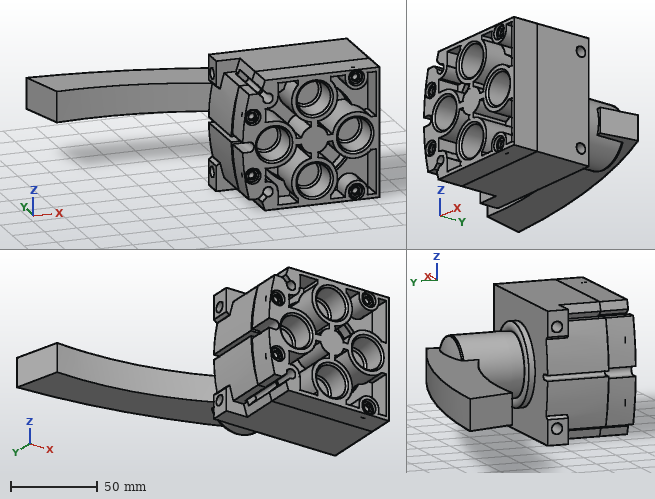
import cadquery as cq
import math


HALF_HEIGHT = 40.0
RIGHT_X = 40.1
PLATE_THICKNESS = 17.2
HOUSING_THICKNESS = 38.3
PLATE_BULGE_X = -44.5
HOUSING_BULGE_X = -45.4
STEP_OUTER_X = -40.5
STEP_INNER_X = -33.2
STEP_TOP_X = -30.7
STEP_Z = 32.2

GROOVE_WIDTH = 3.4
KEYHOLE_DIAMETER = 6.0
KEYHOLE_X = -28.8
KEYHOLE_Z = 28.7
KEYHOLE_RUN = 6.7
GROOVE_ANGLE = 135
CORNER_GROOVE_START = 17.0
MIDDLE_GROOVE_X = -40.5
PLATE_GROOVE_WIDTH = 6.0

TAB_THICKNESS = 13.0
TAB_BOTTOM_Z = 24.5
TAB_CHAMFER = 1.7
TAB_CHAMFER_X = -43.2
TAB_ROOT_X = -16.9
MOUNT_HOLE_DIAMETER = 6.5
MOUNT_HOLE_Z = 30.2
MOUNT_HOLE_SETBACK = 5.9

PORT_OFFSET = 25.1
PORT_BOSS_RADIUS = 14.2
PORT_RIM_RADIUS = 11.5
PORT_MOUTH_RADIUS = 10.3
PORT_END_RADIUS = 9.5
PORT_FLOOR_RADIUS = 8.3
PORT_RIM_DEPTH = 1.2
PORT_END_DEPTH = 14.8
PORT_DEPTH = 16.0
POST_RADIUS = 8.5
RIB_WIDTH = 4.2
BRIDGE_HALF_WIDTH = 10.1
POCKET_DEPTH = 14.2
POCKET_RIGHT_X = 38.1
POCKET_LEFT_X = -30.3
POCKET_TOP_Z = 37.5
POCKET_CORNER_X = -22.5
POCKET_CORNER_Z = 22.5
KEYHOLE_BOSS_RADIUS = 6.0
SPIGOT_RADIUS = 31.4
SPIGOT_LENGTH = 6.7

SCREW_PLACES = [(-38.1, 18.0), (26.0, 34.9)]
SCREW_BOSS_RADIUS = 6.9
SCREW_BORE_RADIUS = 4.7
SCREW_BORE_DEPTH = 5.9
SCREW_HEAD_RADIUS = 4.2
SCREW_HEAD_SETBACK = 1.3
SCREW_HEAD_CHAMFER = 0.5
SOCKET_DIAMETER = 4.9
SOCKET_RADIUS = SOCKET_DIAMETER / 2
SOCKET_CONE_RADIUS = 2.0
SOCKET_DEPTH = 1.7
SOCKET_CONE_DEPTH = 1.3

COLLAR_RADIUS = 25.5
COLLAR_RIM_HEIGHT = 3.9
COLLAR_CREST = (22.3, 5.2)
COLLAR_TOP_RADIUS = 19.5
COLLAR_TOP_HEIGHT = 4.0

HUB_DIAMETER = 40.0
HUB_RADIUS = HUB_DIAMETER / 2
HUB_SKIRT_TOP = 12.3
SKIRT_MIDDLE = (19.9, 8.3)
HUB_SHOULDER = 41.6
HUB_DOME_EDGE = (19.5, 42.7)
HUB_DOME_MIDDLE = (10.1, 44.5)
HUB_DOME_TOP = 45.2

LEVER_TIP_TOP = (-128.5, 81.1)
LEVER_TOP_MIDDLE = (-48.2, 71.5)
LEVER_END_TOP = (26.0, 47.7)
LEVER_END_BOTTOM = (21.7, 22.8)
LEVER_INSIDE_HUB = (-15.2, 30.9)
LEVER_BOTTOM_MIDDLE = (-67.8, 48.4)
LEVER_TIP_BOTTOM = (-120.4, 51.6)
LEVER_TIP_WIDTH = 19.2
LEVER_END_WIDTH = 16.0


def prism(outline, y_start, y_end):
    """Extrude an outline drawn in X and Z from one Y to another."""
    return outline.extrude(y_start - y_end).translate((0, y_start, 0))


def xz():
    """Plane of the outlines, looking along the valve axis."""
    return cq.Workplane("XZ")


def box(x_min, x_max, z_min, z_max, y_start, y_end):
    center = ((x_min + x_max) / 2, (z_min + z_max) / 2)
    return prism(xz().center(*center).rect(x_max - x_min, z_max - z_min), y_start, y_end)


def cylinder(x, z, radius, y_start, y_end):
    return prism(xz().center(x, z).circle(radius), y_start, y_end)


def turned(profile):
    """Revolve a closed profile of (radius, Y) about the Y axis."""
    return profile.close().revolve(360, (0, 0, 0), (0, 1, 0))


def with_mirror(shape):
    """Add the copy mirrored from the upper to the lower half."""
    return shape.union(shape.mirror("XY"))


def block(bulge_x, y_start, y_end):
    """Block with a bulged left side between two stepped corners."""
    outline = (
        xz()
        .moveTo(RIGHT_X, -HALF_HEIGHT)
        .lineTo(RIGHT_X, HALF_HEIGHT)
        .lineTo(STEP_TOP_X, HALF_HEIGHT)
        .lineTo(STEP_INNER_X, STEP_Z)
        .lineTo(STEP_OUTER_X, STEP_Z)
        .threePointArc((bulge_x, 0), (STEP_OUTER_X, -STEP_Z))
        .lineTo(STEP_INNER_X, -STEP_Z)
        .lineTo(STEP_TOP_X, -HALF_HEIGHT)
        .close()
    )
    return prism(outline, y_start, y_end)


def corner_grooves(y_start, y_end):
    """Round-ended 45 degree grooves running out of the stepped corners."""
    slot_length = KEYHOLE_RUN + GROOVE_WIDTH
    slot_shift = KEYHOLE_RUN / 2 * math.sin(math.radians(GROOVE_ANGLE))
    slot = (
        xz()
        .center(KEYHOLE_X - slot_shift, KEYHOLE_Z + slot_shift)
        .slot2D(slot_length, GROOVE_WIDTH, GROOVE_ANGLE)
    )
    return with_mirror(prism(slot, y_start, y_end))


def middle_groove(width, y_start, y_end):
    """Round-ended groove running out of the middle of the left side."""
    open_part = box(HOUSING_BULGE_X, MIDDLE_GROOVE_X, -width / 2, width / 2, y_start, y_end)
    return open_part.union(cylinder(MIDDLE_GROOVE_X, 0, width / 2, y_start, y_end))


def mounting_tabs():
    tab = (
        xz()
        .moveTo(HOUSING_BULGE_X, TAB_BOTTOM_Z)
        .lineTo(HOUSING_BULGE_X, HALF_HEIGHT)
        .lineTo(TAB_ROOT_X, HALF_HEIGHT)
        .lineTo(TAB_ROOT_X, TAB_BOTTOM_Z - TAB_CHAMFER)
        .lineTo(TAB_CHAMFER_X, TAB_BOTTOM_Z - TAB_CHAMFER)
        .close()
    )
    return with_mirror(prism(tab, HOUSING_THICKNESS - TAB_THICKNESS, HOUSING_THICKNESS))


def mounting_holes():
    return (
        cq.Workplane("YZ", origin=(HOUSING_BULGE_X, HOUSING_THICKNESS - MOUNT_HOLE_SETBACK, 0))
        .pushPoints([(0, MOUNT_HOLE_Z), (0, -MOUNT_HOLE_Z)])
        .circle(MOUNT_HOLE_DIAMETER / 2)
        .extrude(RIGHT_X - HOUSING_BULGE_X)
    )


def collar():
    """Collar with a rounded crest falling inward to the flat seat of the hub."""
    profile = (
        cq.Workplane("XY")
        .lineTo(COLLAR_RADIUS, 0)
        .lineTo(COLLAR_RADIUS, COLLAR_RIM_HEIGHT)
        .threePointArc(COLLAR_CREST, (COLLAR_TOP_RADIUS, COLLAR_TOP_HEIGHT))
        .lineTo(0, COLLAR_TOP_HEIGHT)
    )
    return turned(profile).translate((0, HOUSING_THICKNESS, 0))


def make_housing():
    corner_groove_end = HOUSING_THICKNESS - CORNER_GROOVE_START
    return (
        block(HOUSING_BULGE_X, 0, HOUSING_THICKNESS)
        .union(mounting_tabs())
        .union(collar())
        .cut(mounting_holes())
        .cut(corner_grooves(0, corner_groove_end))
        .cut(middle_groove(GROOVE_WIDTH, 0, HOUSING_THICKNESS))
        .cut(cylinder(0, 0, SPIGOT_RADIUS, 0, SPIGOT_LENGTH))
    )


def port_places():
    for quarter in range(4):
        angle = math.radians(90 * quarter)
        yield PORT_OFFSET * math.cos(angle), PORT_OFFSET * math.sin(angle)


def pocket_walls(y_start, y_end):
    """Everything left standing between the pockets: bosses, ribs, bridges and corners."""
    walls = cylinder(0, 0, POST_RADIUS, y_start, y_end)
    for x, z in port_places():
        walls = walls.union(cylinder(x, z, PORT_BOSS_RADIUS, y_start, y_end))
    half_rib = RIB_WIDTH / 2
    bars = [
        (-PORT_OFFSET, PORT_OFFSET, -half_rib, half_rib),
        (-half_rib, half_rib, -PORT_OFFSET, PORT_OFFSET),
        (-BRIDGE_HALF_WIDTH, BRIDGE_HALF_WIDTH, PORT_OFFSET, HALF_HEIGHT),
        (-BRIDGE_HALF_WIDTH, BRIDGE_HALF_WIDTH, -HALF_HEIGHT, -PORT_OFFSET),
        (PORT_OFFSET, RIGHT_X, -BRIDGE_HALF_WIDTH, BRIDGE_HALF_WIDTH),
        (POCKET_LEFT_X, -PORT_OFFSET, -PORT_BOSS_RADIUS, PORT_BOSS_RADIUS),
    ]
    for bar in bars:
        walls = walls.union(box(*bar, y_start, y_end))

    screw_x, screw_z = SCREW_PLACES[1]
    upper_corners = (
        box(POCKET_LEFT_X, KEYHOLE_X, POCKET_CORNER_Z, HALF_HEIGHT, y_start, y_end)
        .union(box(POCKET_LEFT_X, POCKET_CORNER_X, KEYHOLE_Z, HALF_HEIGHT, y_start, y_end))
        .union(cylinder(KEYHOLE_X, KEYHOLE_Z, KEYHOLE_BOSS_RADIUS, y_start, y_end))
        .union(cylinder(screw_x, screw_z, SCREW_BOSS_RADIUS, y_start, y_end))
        .union(
            box(
                screw_x - SCREW_BOSS_RADIUS,
                screw_x + SCREW_BOSS_RADIUS,
                screw_z,
                HALF_HEIGHT,
                y_start,
                y_end,
            )
        )
    )
    return walls.union(with_mirror(upper_corners))


def pockets():
    """Pockets open at the front, running on through the spigot inside its circle."""
    front = -PLATE_THICKNESS
    floor = front + POCKET_DEPTH
    shallow = box(POCKET_LEFT_X, POCKET_RIGHT_X, -POCKET_TOP_Z, POCKET_TOP_Z, front, floor)
    deep = cylinder(0, 0, SPIGOT_RADIUS, floor, SPIGOT_LENGTH).intersect(
        box(POCKET_LEFT_X, POCKET_RIGHT_X, -POCKET_TOP_Z, POCKET_TOP_Z, floor, SPIGOT_LENGTH)
    )
    return shallow.union(deep).cut(pocket_walls(front, SPIGOT_LENGTH))


def port_bore():
    """Tapered bore with a countersunk rim and a bevelled floor, sunk from the front face at the axis."""
    profile = (
        cq.Workplane("XY")
        .lineTo(PORT_RIM_RADIUS, 0)
        .lineTo(PORT_MOUTH_RADIUS, PORT_RIM_DEPTH)
        .lineTo(PORT_END_RADIUS, PORT_END_DEPTH)
        .lineTo(PORT_FLOOR_RADIUS, PORT_DEPTH)
        .lineTo(0, PORT_DEPTH)
    )
    return turned(profile).translate((0, -PLATE_THICKNESS, 0))


def screw_recess():
    """Counterbore around a chamfered screw head, with a cone-bottomed socket in the head."""
    head_edge = SCREW_HEAD_SETBACK + SCREW_HEAD_CHAMFER
    socket_floor = SCREW_HEAD_SETBACK + SOCKET_DEPTH
    profile = (
        cq.Workplane("XY")
        .lineTo(SCREW_BORE_RADIUS, 0)
        .lineTo(SCREW_BORE_RADIUS, SCREW_BORE_DEPTH)
        .lineTo(SCREW_HEAD_RADIUS, SCREW_BORE_DEPTH)
        .lineTo(SCREW_HEAD_RADIUS, head_edge)
        .lineTo(SCREW_HEAD_RADIUS - SCREW_HEAD_CHAMFER, SCREW_HEAD_SETBACK)
        .lineTo(SOCKET_RADIUS, SCREW_HEAD_SETBACK)
        .lineTo(SOCKET_RADIUS, socket_floor)
        .lineTo(SOCKET_CONE_RADIUS, socket_floor)
        .lineTo(0, socket_floor + SOCKET_CONE_DEPTH)
    )
    return turned(profile).translate((0, -PLATE_THICKNESS, 0))


def make_port_plate():
    front = -PLATE_THICKNESS
    plate = (
        block(PLATE_BULGE_X, front, 0)
        .union(cylinder(0, 0, SPIGOT_RADIUS, 0, SPIGOT_LENGTH))
        .cut(pockets())
        .cut(corner_grooves(front, 0))
        .cut(with_mirror(cylinder(KEYHOLE_X, KEYHOLE_Z, KEYHOLE_DIAMETER / 2, front, 0)))
        .cut(middle_groove(PLATE_GROOVE_WIDTH, front, 0))
    )
    for x, z in port_places():
        plate = plate.cut(port_bore().translate((x, 0, z)))
    for x, z in SCREW_PLACES:
        plate = plate.cut(with_mirror(screw_recess().translate((x, 0, z))))
    return plate


def hub():
    """Domed hub whose skirt curves inward to its foot on top of the collar."""
    profile = (
        cq.Workplane("XY")
        .moveTo(0, COLLAR_TOP_HEIGHT)
        .lineTo(COLLAR_TOP_RADIUS, COLLAR_TOP_HEIGHT)
        .threePointArc(SKIRT_MIDDLE, (HUB_RADIUS, HUB_SKIRT_TOP))
        .lineTo(HUB_RADIUS, HUB_SHOULDER)
        .lineTo(*HUB_DOME_EDGE)
        .threePointArc(HUB_DOME_MIDDLE, (0, HUB_DOME_TOP))
    )
    return turned(profile)


def lever():
    """Curved lever whose width tapers evenly from the tip to the end past the hub."""
    side = (
        cq.Workplane("XY")
        .moveTo(*LEVER_TIP_TOP)
        .threePointArc(LEVER_TOP_MIDDLE, LEVER_END_TOP)
        .lineTo(*LEVER_END_BOTTOM)
        .lineTo(*LEVER_INSIDE_HUB)
        .threePointArc(LEVER_BOTTOM_MIDDLE, LEVER_TIP_BOTTOM)
        .close()
        .extrude(LEVER_TIP_WIDTH / 2, both=True)
    )
    tip_x = LEVER_TIP_TOP[0]
    end_x = LEVER_END_TOP[0]
    taper = (
        xz()
        .moveTo(tip_x, -LEVER_TIP_WIDTH / 2)
        .lineTo(end_x, -LEVER_END_WIDTH / 2)
        .lineTo(end_x, LEVER_END_WIDTH / 2)
        .lineTo(tip_x, LEVER_TIP_WIDTH / 2)
        .close()
    )
    return side.intersect(prism(taper, 0, LEVER_TIP_TOP[1]))


def make_handle():
    return hub().union(lever()).translate((0, HOUSING_THICKNESS, 0))


housing = make_housing()
port_plate = make_port_plate()
handle = make_handle()

result = cq.Compound.makeCompound([housing.val(), port_plate.val(), handle.val()])